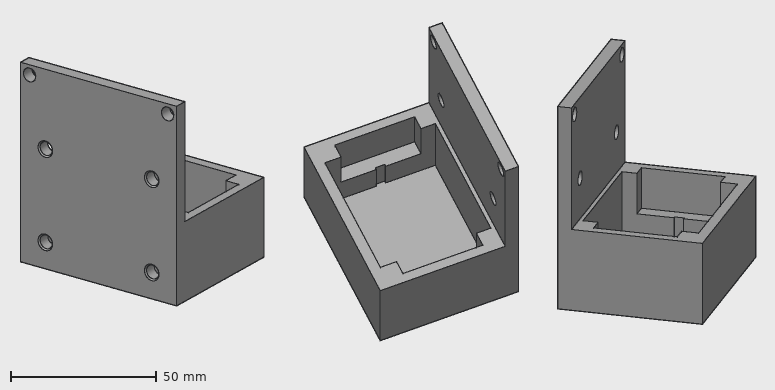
import cadquery as cq

width = 66.0
depth = 52.0
plate_height = 75.0
plate_thickness = 5.0
box_height = 30.0

pocket_width = 48.0
pocket_front = 6.5
pocket_back = 48.0
pocket_floor = 5.0

recess_span = 58.95
recess_length = 30.0
recess_floor = 15.0
groove_span = 49.65
groove_length = 3.5
side_center_y = 26.9

hole_diameter = 5.1
corner_inset = 3.8
mount_spacing_x = 45.0
mount_heights = (10.0, 45.0)
countersink_diameter = 6.15
countersink_depth = (countersink_diameter - hole_diameter) / 2


def make_body():
    """Open box joined to the tall front plate."""
    plate = cq.Workplane("XY").box(width, plate_thickness, plate_height, centered=(True, False, False))
    box = cq.Workplane("XY").box(width, depth, box_height, centered=(True, False, False))
    return plate.union(box)


def make_main_pocket():
    """Rectangular pocket open at the rim of the box."""
    return (
        cq.Workplane("XY", origin=(0, pocket_front, pocket_floor))
        .box(pocket_width, pocket_back - pocket_front, box_height - pocket_floor, centered=(True, False, False))
    )


def make_side_cut(span, length, floor):
    """Block crossing the pocket and widening it on both sides, down to the given floor."""
    return (
        cq.Workplane("XY", origin=(0, side_center_y, floor))
        .box(span, length, box_height - floor, centered=(True, True, False))
    )


def make_hole(x, z, countersunk):
    """Hole as deep as the plate is thick, so it ends blind where the box is behind it."""
    front = cq.Workplane("XZ", origin=(x, 0, z))
    hole = front.circle(hole_diameter / 2).extrude(-plate_thickness)
    if countersunk:
        countersink = (
            front.circle(countersink_diameter / 2)
            .workplane(offset=-countersink_depth)
            .circle(hole_diameter / 2)
            .loft()
        )
        hole = hole.union(countersink)
    return hole


result = (
    make_body()
    .cut(make_main_pocket())
    .cut(make_side_cut(recess_span, recess_length, recess_floor))
    .cut(make_side_cut(groove_span, groove_length, pocket_floor))
)

for side in (-1, 1):
    corner_x = side * (width / 2 - corner_inset)
    result = result.cut(make_hole(corner_x, plate_height - corner_inset, countersunk=False))
    for mount_z in mount_heights:
        result = result.cut(make_hole(side * mount_spacing_x / 2, mount_z, countersunk=True))